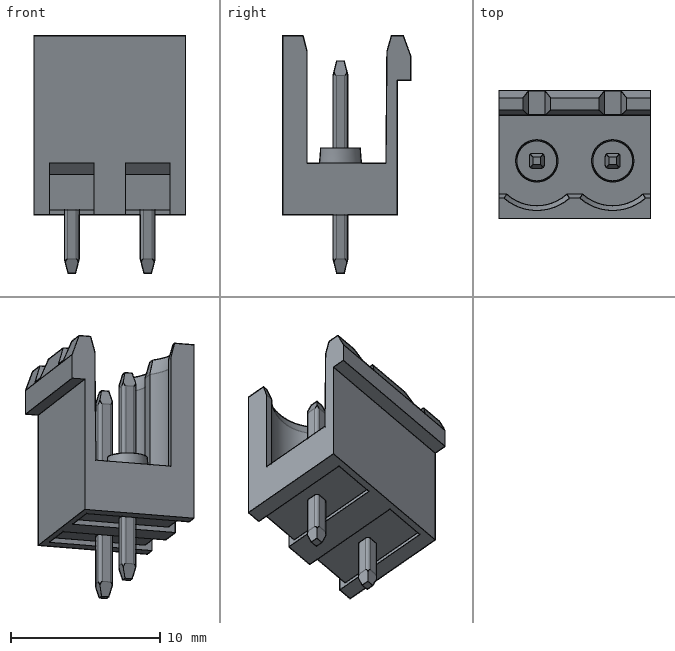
import cadquery as cq


width = 10.16
pole_count = 2
pitch = width / pole_count
housing_height = 11.99
depth = 8.57
front_face_y = -3.86
rear_face_y = 3.82
cavity_floor_z = 3.47

front_wall_inner_y = -2.23
bevel_width = 0.27
bevel_height = 1.07
bevel_base_z = housing_height - bevel_height

rear_wall_floor_y = 3.04
rear_wall_upper_y = 3.1
rear_wall_top_inner_y = 3.4
hook_tip_y = front_face_y + depth
hook_top_y = 4.21
hook_bottom_z = 9.0
hook_slope_base_z = 10.64

notch_floor_width = 1.13
notch_top_width = 1.86
notch_floor_z = 10.75

scallop_radius = 3.0
scallop_mouth_radius = 3.32

recess_width = 2.99
recess_depth = 0.5
recess_top_z = cavity_floor_z
recess_slope_base_z = 2.7
recess_back_y = front_face_y + recess_depth
pocket_height = 0.33
pocket_rear_y = -recess_back_y

collar_base_radius = 1.42
collar_top_radius = 1.34
collar_height = 1.02

pin_width = 1.0
pin_edge_radius = 0.22
pin_tip_width = 0.51
pin_taper_length = 0.97
pin_length = 14.21
overall_height = 15.9
pin_bottom_z = housing_height - overall_height
pin_top_z = pin_bottom_z + pin_length

pin_positions = [(i - (pole_count - 1) / 2) * pitch for i in range(pole_count)]


def extrude_along_x(points, length, center_x=0):
    """Prism with a (y, z) outline, centred on center_x."""
    plane = cq.Workplane("YZ", origin=(center_x, 0, 0))
    return plane.polyline(points).close().extrude(length / 2, both=True)


def make_shell():
    """U-shaped block with the bevelled front wall and the hooked rear wall."""
    outline = [
        (front_face_y, 0),
        (rear_face_y, 0),
        (rear_face_y, hook_bottom_z),
        (hook_tip_y, hook_bottom_z),
        (hook_tip_y, hook_slope_base_z),
        (hook_top_y, housing_height),
        (rear_wall_top_inner_y, housing_height),
        (rear_wall_upper_y, bevel_base_z),
        (rear_wall_floor_y, cavity_floor_z),
        (front_wall_inner_y, cavity_floor_z),
        (front_wall_inner_y, bevel_base_z),
        (front_wall_inner_y - bevel_width, housing_height),
        (front_face_y, housing_height),
    ]
    return extrude_along_x(outline, width)


def make_notch(x):
    """Cutter for one flared notch across the hook."""
    return (
        cq.Workplane("XZ", origin=(x, hook_tip_y, 0))
        .moveTo(-notch_floor_width / 2, notch_floor_z)
        .lineTo(notch_floor_width / 2, notch_floor_z)
        .lineTo(notch_top_width / 2, housing_height)
        .lineTo(-notch_top_width / 2, housing_height)
        .close()
        .extrude(hook_tip_y - rear_wall_floor_y)
    )


def make_scallop(x):
    """Cutter for one scallop: a bore around the pin with a conical mouth, kept clear of the rear wall."""
    bore = (
        cq.Workplane("XY", origin=(x, 0, cavity_floor_z))
        .circle(scallop_radius)
        .extrude(housing_height - cavity_floor_z)
    )
    mouth = (
        cq.Workplane("XY", origin=(x, 0, bevel_base_z))
        .circle(scallop_radius)
        .workplane(offset=bevel_height)
        .circle(scallop_mouth_radius)
        .loft()
    )
    front_half = (
        cq.Workplane("XY", origin=(x, 0, 0))
        .rect(width, front_face_y)
        .extrude(housing_height)
        .translate((0, front_face_y / 2, 0))
    )
    return bore.union(mouth).intersect(front_half)


def make_recess(x):
    """Cutter for one front recess, with a sloped top, joined to the shallow pocket under the housing."""
    outline = [
        (front_face_y, 0),
        (front_face_y, recess_top_z),
        (recess_back_y, recess_slope_base_z),
        (recess_back_y, pocket_height),
        (pocket_rear_y, pocket_height),
        (pocket_rear_y, 0),
    ]
    return extrude_along_x(outline, recess_width, x)


def make_collar(x):
    """Tapered collar that stands on the cavity floor around a pin."""
    return (
        cq.Workplane("XY", origin=(x, 0, cavity_floor_z))
        .circle(collar_base_radius)
        .workplane(offset=collar_height)
        .circle(collar_top_radius)
        .loft()
    )


def make_taper(x, base_z, length):
    """Square frustum from the pin width to the tip width; a negative length points it down."""
    return (
        cq.Workplane("XY", origin=(x, 0, base_z))
        .rect(pin_width, pin_width)
        .workplane(offset=length)
        .rect(pin_tip_width, pin_tip_width)
        .loft()
    )


def make_pin(x):
    """Square pin with rounded long edges and tapered ends."""
    lower_taper_z = pin_bottom_z + pin_taper_length
    upper_taper_z = pin_top_z - pin_taper_length
    shank = (
        cq.Workplane("XY", origin=(x, 0, lower_taper_z))
        .rect(pin_width, pin_width)
        .extrude(upper_taper_z - lower_taper_z)
    )
    rounded_bar = (
        cq.Workplane("XY", origin=(x, 0, pin_bottom_z))
        .rect(pin_width, pin_width)
        .extrude(pin_length)
        .edges("|Z")
        .fillet(pin_edge_radius)
    )
    lower_tip = make_taper(x, lower_taper_z, -pin_taper_length)
    upper_tip = make_taper(x, upper_taper_z, pin_taper_length)
    return shank.union(lower_tip).union(upper_tip).intersect(rounded_bar)


def make_housing(pins):
    """Housing with a matching hole for each pin."""
    body = make_shell()
    for x in pin_positions:
        body = body.cut(make_notch(x)).cut(make_scallop(x)).cut(make_recess(x))
        body = body.union(make_collar(x))
    for pin in pins:
        body = body.cut(pin)
    return body


pins = [make_pin(x) for x in pin_positions]
housing = make_housing(pins)

result = cq.Compound.makeCompound([housing.val(), *[pin.val() for pin in pins]])